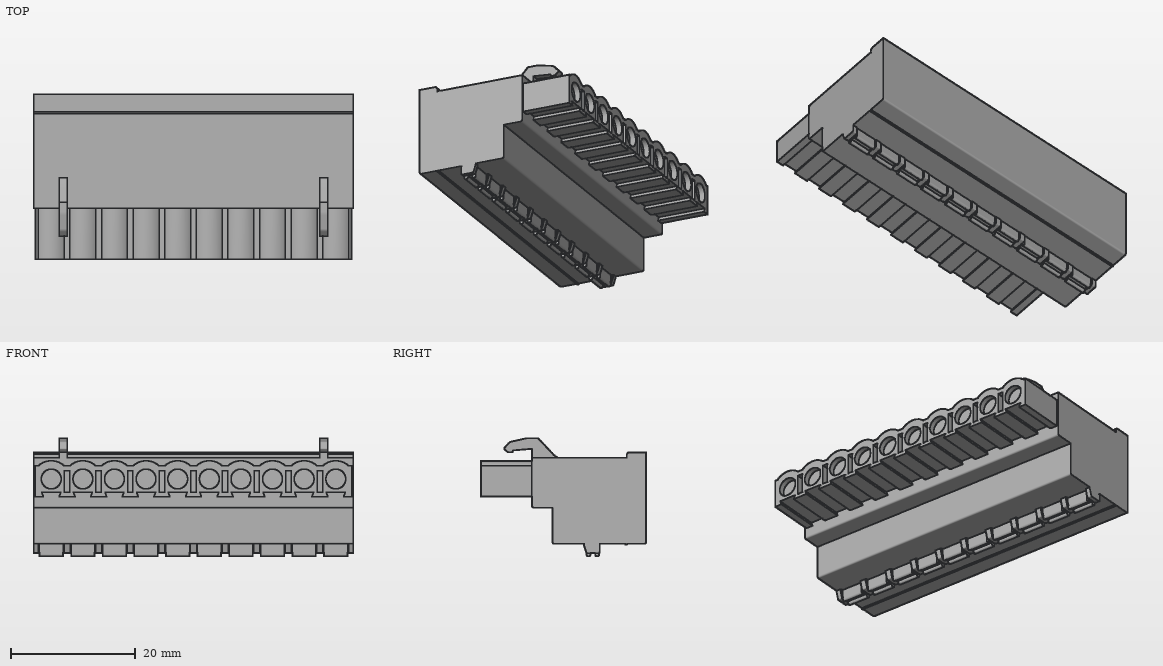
import cadquery as cq


housing_length = 51.4
housing_depth = 18.35
housing_height = 13.9
ledge_depth = 3.15
ledge_height = 14.7
ledge_chamfer = 0.25
step_depth = 3.3
step_height = 5.8
lower_edge_radius = 0.3
bead_y = 15.1
bead_radius = 0.15

overlap = 0.5

pole_count = 10
plug_length = 50.8
plug_reach = 8.25
plug_bottom = 7.6
plug_shoulder = 12.55
pole_top = 13.35
pole_arch_width = 4.15
pole_pitch = plug_length / pole_count

hole_z = 10.45
hole_radius = 1.6
hole_depth = 1.05
slot_width = 0.85
slot_bottom = 8.3
slot_top = 11.7
groove_top_width = 3.05
groove_mouth_width = 2.5

hook_width = 1.35
hook_spacing = 41.85
hook_top = 17.0
hook_back_y = 1.0
hook_recess_depth = 0.15
hook_recess_back_y = 4.95
hook_root = (4.05, housing_height - hook_recess_depth)
hook_root_radius = 2.0
hook_bend = (-0.8, hook_top)
hook_bend_radius = 2.05
hook_brow = (-3.55, 16.4)
hook_brow_radius = 0.8
hook_nose = (-4.6, 15.3)
hook_nose_radius = 0.2
hook_tip_front = (-3.85, 14.7)
hook_tip_back = (-3.15, 14.7)
hook_barb = (-3.05, 15.0)
hook_throat_z = 15.25

foot_back_y = 10.9
foot_front_y = 8.35
foot_toe_y = 8.75
foot_height = 1.5
foot_lip_height = 0.2
foot_edge_radius = 0.2
foot_side_chamfer = 0.15
block_width = 3.8
block_back_y = 10.8
rib_width = 0.65
rib_height = 0.5

pole_centres = [(i - (pole_count - 1) / 2) * pole_pitch for i in range(pole_count)]
pole_borders = [(i - pole_count / 2) * pole_pitch for i in range(1, pole_count)]


def box(x_range, y_range, z_range):
    """Box between the given low and high limits on each axis."""
    spans = [high - low for low, high in (x_range, y_range, z_range)]
    corner = (x_range[0], y_range[0], z_range[0])
    return cq.Workplane("XY").box(*spans, centered=False).translate(corner)


def side_profile(x):
    """Sketch plane at x whose local axes are Y and Z."""
    return cq.Workplane("YZ", origin=(x, 0, 0))


def front_profile(y):
    """Sketch plane at y whose local axes are X and Z; extrusions run toward -Y."""
    return cq.Workplane("XZ", origin=(0, y, 0))


def make_housing():
    ledge_y = housing_depth - ledge_depth
    body = (
        side_profile(-housing_length / 2)
        .moveTo(step_depth, 0)
        .lineTo(housing_depth, 0)
        .lineTo(housing_depth, ledge_height)
        .lineTo(ledge_y, ledge_height)
        .lineTo(ledge_y, housing_height)
        .lineTo(0, housing_height)
        .lineTo(0, step_height)
        .lineTo(step_depth, step_height)
        .close()
        .extrude(housing_length)
    )
    for y, z in ((step_depth, 0), (housing_depth, 0), (0, step_height)):
        body = body.edges(cq.selectors.NearestToPointSelector((0, y, z))).fillet(lower_edge_radius)
    ledge_edge = cq.selectors.NearestToPointSelector((0, ledge_y, ledge_height))
    body = body.edges(ledge_edge).chamfer(ledge_chamfer)
    bead = side_profile(-housing_length / 2).center(bead_y, 0).circle(bead_radius)
    return body.union(bead.extrude(housing_length))


def make_plug_row():
    row = box(
        (-plug_length / 2, plug_length / 2),
        (-plug_reach, overlap),
        (plug_bottom, plug_shoulder),
    )
    for x in pole_centres:
        arch = (
            front_profile(overlap)
            .moveTo(x - pole_arch_width / 2, hole_z)
            .lineTo(x - pole_arch_width / 2, plug_shoulder)
            .threePointArc((x, pole_top), (x + pole_arch_width / 2, plug_shoulder))
            .lineTo(x + pole_arch_width / 2, hole_z)
            .close()
            .extrude(plug_reach + overlap)
        )
        row = row.union(arch)
    return row


def make_wire_hole(x):
    front = front_profile(hole_depth - plug_reach)
    return front.center(x, hole_z).circle(hole_radius).extrude(hole_depth)


def make_slot(x):
    return box(
        (x - slot_width / 2, x + slot_width / 2),
        (-plug_reach, 0),
        (slot_bottom, slot_top),
    )


def make_dovetail_groove(x):
    return (
        front_profile(0)
        .moveTo(x - groove_mouth_width / 2, plug_bottom)
        .lineTo(x - groove_top_width / 2, slot_bottom)
        .lineTo(x + groove_top_width / 2, slot_bottom)
        .lineTo(x + groove_mouth_width / 2, plug_bottom)
        .close()
        .extrude(plug_reach)
    )


def make_hook_recess(x):
    """Shallow pocket in the housing top that the hook rises from."""
    return box(
        (x - hook_width / 2, x + hook_width / 2),
        (0, hook_recess_back_y),
        (housing_height - hook_recess_depth, housing_height),
    )


def make_hook(x):
    hook = (
        side_profile(x - hook_width / 2)
        .moveTo(0, housing_height - overlap)
        .lineTo(hook_recess_back_y, housing_height - overlap)
        .lineTo(hook_recess_back_y, housing_height - hook_recess_depth)
        .lineTo(*hook_root)
        .lineTo(hook_back_y, hook_top)
        .lineTo(*hook_bend)
        .lineTo(*hook_brow)
        .lineTo(*hook_nose)
        .lineTo(*hook_tip_front)
        .lineTo(*hook_tip_back)
        .lineTo(*hook_barb)
        .lineTo(0, hook_throat_z)
        .close()
        .extrude(hook_width)
    )
    rounded_corners = (
        (hook_root, hook_root_radius),
        (hook_bend, hook_bend_radius),
        (hook_brow, hook_brow_radius),
        (hook_nose, hook_nose_radius),
    )
    for corner, radius in rounded_corners:
        hook = hook.edges(cq.selectors.NearestToPointSelector((x, *corner))).fillet(radius)
    return hook


def make_foot_bar(x_start, x_end):
    """Foot with a sloping front; the front is chamfered where it meets a ribbed block."""
    bar = (
        side_profile(x_start)
        .moveTo(foot_back_y, overlap)
        .lineTo(foot_front_y, overlap)
        .lineTo(foot_front_y, -foot_lip_height)
        .lineTo(foot_toe_y, -foot_height)
        .lineTo(foot_back_y, -foot_height)
        .close()
        .extrude(x_end - x_start)
        .edges("|X and <Z")
        .fillet(foot_edge_radius)
    )
    slope_middle = ((foot_front_y + foot_toe_y) / 2, -(foot_lip_height + foot_height) / 2)
    for x in (x_start, x_end):
        if abs(x) < housing_length / 2:
            slope_edge = cq.selectors.NearestToPointSelector((x, *slope_middle))
            bar = bar.edges(slope_edge).chamfer(foot_side_chamfer)
    return bar


def make_ribbed_block(x):
    """Block under one pole, with two round-nosed ribs along its underside."""
    x_range = (x - block_width / 2, x + block_width / 2)
    block = box(x_range, (foot_toe_y, block_back_y), (-foot_height, overlap))
    nose_radius = rib_width / 2
    nose_z = nose_radius - foot_height - rib_height
    for y in (foot_toe_y + nose_radius, block_back_y - nose_radius):
        stem = box(x_range, (y - nose_radius, y + nose_radius), (nose_z, 0))
        nose = side_profile(x_range[0]).center(y, nose_z).circle(nose_radius).extrude(block_width)
        block = block.union(stem).union(nose)
    return block


plug_row = make_plug_row()
for pole_x in pole_centres:
    plug_row = plug_row.cut(make_wire_hole(pole_x))
    plug_row = plug_row.cut(make_dovetail_groove(pole_x))
for border_x in pole_borders:
    plug_row = plug_row.cut(make_slot(border_x))

result = make_housing().union(plug_row)

for side in (-1, 1):
    hook_x = side * hook_spacing / 2
    result = result.cut(make_hook_recess(hook_x)).union(make_hook(hook_x))

bar_start = -housing_length / 2
for pole_x in pole_centres:
    result = result.union(make_foot_bar(bar_start, pole_x - block_width / 2))
    result = result.union(make_ribbed_block(pole_x))
    bar_start = pole_x + block_width / 2
result = result.union(make_foot_bar(bar_start, housing_length / 2))